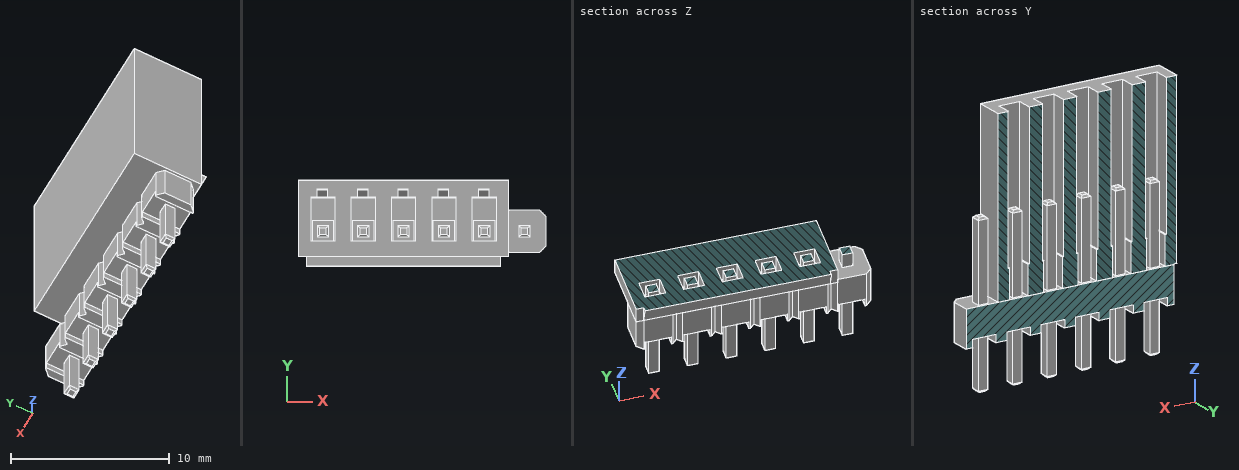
import cadquery as cq
import math


PIN_COUNT = 6
PIN_ROW_LENGTH = 12.7
PITCH = PIN_ROW_LENGTH / (PIN_COUNT - 1)
PIN_SIZE = 0.7
PIN_TOP = 5.85
PIN_TAIL = 3.22
TIP_CHAMFER = 0.15

HEADER_OVERHANG = 1.35
HEADER_LENGTH = PIN_ROW_LENGTH + 2 * HEADER_OVERHANG
HEADER_DEPTH = 2.68
HEADER_HEIGHT = 2.72
CORNER_CHAMFER = 0.41
GROOVE_DEPTH = 0.32
RECESS_WIDTH = 1.71
RECESS_HEIGHT = 0.55

CAVITY_COUNT = PIN_COUNT - 1
HOUSING_OVERHANG = 1.55
HOUSING_LENGTH = (CAVITY_COUNT - 1) * PITCH + 2 * HOUSING_OVERHANG
HOUSING_DEPTH = 4.82
HOUSING_HEIGHT = 12.67
HOUSING_FRONT = -1.6
LATCH_DEPTH = 0.61
LATCH_HEIGHT = 2.12
LATCH_END_GAP = 0.5

SLOT_WIDTH = 1.53
SLOT_DEPTH = 2.75
FRONT_WALL = 0.99
SLOT_FRONT = HOUSING_FRONT + FRONT_WALL
SLOT_FLOOR = 2.12
PASSAGE_WIDTH = 1.34
PASSAGE_DEPTH = 1.28
NOTCH_WIDTH = 0.65
NOTCH_DEPTH = 0.52
NOTCH_SHIFT = -0.04
LEDGE = 0.05
RAMP_HEIGHT = NOTCH_DEPTH - LEDGE
RAMP_FOOT = SLOT_FLOOR + LEDGE

PIN_XS = [i * PITCH for i in range(PIN_COUNT)]


def block(x_center, width, y_front, depth, z_bottom, z_top):
    """Box centred on x_center in X, reaching back from y_front and up from z_bottom to z_top."""
    height = z_top - z_bottom
    corner = cq.Vector(x_center - width / 2, y_front, z_bottom)
    return cq.Workplane(cq.Solid.makeBox(width, depth, height, corner))


def profile_along_x(points, x_center, width):
    """Solid with a (Y, Z) outline, extruded along X and centred on x_center."""
    return cq.Workplane("YZ", origin=(x_center - width / 2, 0, 0)).polyline(points).close().extrude(width)


def make_pin(x):
    """Square pin with both ends tapered to a blunt tip."""
    bottom = -HEADER_HEIGHT - PIN_TAIL
    pin = block(x, PIN_SIZE, -PIN_SIZE / 2, PIN_SIZE, bottom, PIN_TOP)
    return pin.faces("<Z").chamfer(TIP_CHAMFER).faces(">Z").chamfer(TIP_CHAMFER)


def make_groove(x, y):
    """V groove cutter: a square bar on edge, upright through the header face at (x, y)."""
    side = GROOVE_DEPTH * math.sqrt(2)
    bar = cq.Workplane("XY").rect(side, side).extrude(-HEADER_HEIGHT)
    return bar.rotate((0, 0, 0), (0, 0, 1), 45).translate((x, y, 0))


def make_header():
    """Pin strip: chamfered bar with V grooves between positions, recesses underneath and its pins."""
    front = -HEADER_DEPTH / 2
    header = block(PIN_ROW_LENGTH / 2, HEADER_LENGTH, front, HEADER_DEPTH, -HEADER_HEIGHT, 0)
    header = header.edges("|Z").chamfer(CORNER_CHAMFER)
    for x in PIN_XS[:-1]:
        for y in (front, -front):
            header = header.cut(make_groove(x + PITCH / 2, y))
    recess_top = -HEADER_HEIGHT + RECESS_HEIGHT
    for x in PIN_XS:
        header = header.cut(block(x, RECESS_WIDTH, front, HEADER_DEPTH, -HEADER_HEIGHT, recess_top))
    for x in PIN_XS:
        header = header.union(make_pin(x))
    return header


def make_latch(x_center):
    """Wedge on the front of the housing, flat on top and tapering to nothing at the bottom."""
    points = [
        (HOUSING_FRONT, 0),
        (HOUSING_FRONT, LATCH_HEIGHT),
        (HOUSING_FRONT - LATCH_DEPTH, LATCH_HEIGHT),
    ]
    return profile_along_x(points, x_center, HOUSING_LENGTH - 2 * LATCH_END_GAP)


def make_cavity(x):
    """Cutter for one contact cavity."""
    slot_back = SLOT_FRONT + SLOT_DEPTH
    slot = block(x, SLOT_WIDTH, SLOT_FRONT, SLOT_DEPTH, RAMP_FOOT, HOUSING_HEIGHT)
    slot_bottom = block(x, SLOT_WIDTH, SLOT_FRONT, SLOT_DEPTH - LEDGE, SLOT_FLOOR, RAMP_FOOT)
    passage = block(x, PASSAGE_WIDTH, SLOT_FRONT, PASSAGE_DEPTH, 0, SLOT_FLOOR)
    notch_back = slot_back + NOTCH_DEPTH
    ramp_top = RAMP_FOOT + RAMP_HEIGHT
    notch_points = [
        (slot_back, RAMP_FOOT),
        (notch_back - LEDGE, ramp_top),
        (notch_back, ramp_top),
        (notch_back, HOUSING_HEIGHT),
        (slot_back, HOUSING_HEIGHT),
    ]
    notch = profile_along_x(notch_points, x + NOTCH_SHIFT, NOTCH_WIDTH)
    return slot.union(slot_bottom).union(passage).union(notch)


def make_housing():
    """Rectangular housing with a latch wedge and a row of contact cavities."""
    cavity_xs = PIN_XS[:CAVITY_COUNT]
    x_center = cavity_xs[-1] / 2
    housing = block(x_center, HOUSING_LENGTH, HOUSING_FRONT, HOUSING_DEPTH, 0, HOUSING_HEIGHT)
    housing = housing.union(make_latch(x_center))
    for x in cavity_xs:
        housing = housing.cut(make_cavity(x))
    return housing


header = make_header()
housing = make_housing()

result = cq.Compound.makeCompound([header.val(), housing.val()])